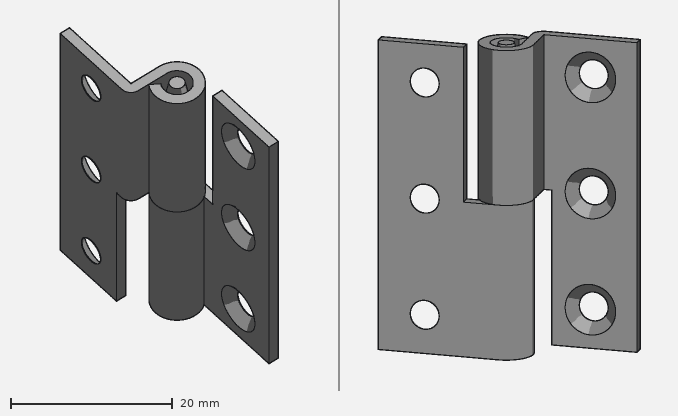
import cadquery as cq
import math

height = 40.0
width = 31.0
half_width = width / 2
pin_radius = 2.0
knuckle_diameter = 7.0
knuckle_radius = knuckle_diameter / 2
sheet = knuckle_radius - pin_radius
knuckle_height = height / 2
offset_face_y = -6.0
bend_radius = sheet
knuckle_gap = 1.0
leaf_edge = knuckle_radius + knuckle_gap
curl_angle = 304.0

tip_radius = 1.0
tip_length = 5.0

hole_margin = 6.0
hole_x = half_width - hole_margin
hole_pitch = 15.0
hole_heights = [height / 2 + step * hole_pitch for step in (-1, 0, 1)]
hole_diameter = 3.7
sink_diameter = 6.5
sink_angle = 90.0


def polar(radius, angle):
    """Point at the given radius and angle in degrees about the hinge axis."""
    turn = math.radians(angle)
    return radius * math.cos(turn), radius * math.sin(turn)


def add_curl(outline, start_angle, sweep):
    """Roll the outline round the pin and back, starting at the outer radius."""
    end_angle = start_angle + sweep
    middle_angle = start_angle + sweep / 2
    return (
        outline
        .threePointArc(polar(knuckle_radius, middle_angle), polar(knuckle_radius, end_angle))
        .lineTo(*polar(pin_radius, end_angle))
        .threePointArc(polar(pin_radius, middle_angle), polar(pin_radius, start_angle))
    )


def plate(x_start, x_end, y_start):
    """Flat full-height part of a leaf."""
    return cq.Workplane("XY").box(x_end - x_start, sheet, height, centered=False).translate(
        (x_start, y_start, 0)
    )


def drill_screw_holes(leaf, face_plane):
    """Countersink a column of screw holes from the face at the given plane."""
    return (
        leaf.copyWorkplane(cq.Workplane(face_plane))
        .pushPoints([(hole_x, z) for z in hole_heights])
        .cskHole(hole_diameter, sink_diameter, sink_angle, depth=sheet)
    )


def make_offset_leaf():
    """Left leaf, countersunk from behind and bent back to a knuckle on the upper half of the hinge."""
    back_face_y = offset_face_y + sheet
    outline = (
        cq.Workplane("XY", origin=(0, 0, height - knuckle_height))
        .moveTo(-leaf_edge, offset_face_y)
        .lineTo(-leaf_edge, back_face_y)
        .lineTo(-knuckle_radius, back_face_y)
        .lineTo(-knuckle_radius, 0)
    )
    outline = (
        add_curl(outline, 180, -curl_angle)
        .lineTo(-pin_radius, offset_face_y + bend_radius)
        .radiusArc((-pin_radius - bend_radius, offset_face_y), bend_radius)
        .close()
    )
    leaf = outline.extrude(knuckle_height).union(plate(-half_width, -leaf_edge, offset_face_y))
    return drill_screw_holes(leaf, cq.Plane((0, back_face_y, 0), (-1, 0, 0), (0, 1, 0)))


def make_flat_leaf():
    """Right leaf, countersunk from the front, with a knuckle on the lower half of the hinge."""
    outline = (
        cq.Workplane("XY")
        .moveTo(leaf_edge, pin_radius)
        .lineTo(leaf_edge, knuckle_radius)
        .lineTo(0, knuckle_radius)
    )
    outline = add_curl(outline, 90, curl_angle).close()
    leaf = outline.extrude(knuckle_height).union(plate(leaf_edge, half_width, pin_radius))
    return drill_screw_holes(leaf, cq.Plane((0, pin_radius, 0), (1, 0, 0), (0, -1, 0)))


def make_pin():
    """Full-height pin with a tapered upper end."""
    return (
        cq.Workplane("XZ")
        .moveTo(0, 0)
        .lineTo(pin_radius, 0)
        .lineTo(pin_radius, height - tip_length)
        .lineTo(tip_radius, height)
        .lineTo(0, height)
        .close()
        .revolve(360, (0, 0, 0), (0, 1, 0))
    )


offset_leaf = make_offset_leaf()
flat_leaf = make_flat_leaf()
pin = make_pin()

result = cq.Compound.makeCompound([offset_leaf.val(), flat_leaf.val(), pin.val()])